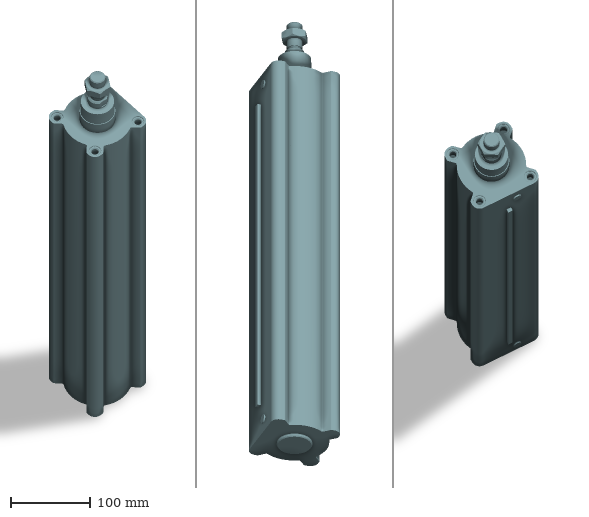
import cadquery as cq
import math

TOTAL_LENGTH = 617.5
WIDTH = 93.0
DEPTH = 98.0

HALF_WIDTH = WIDTH / 2
BARREL_RADIUS = 44.0
SCREW_PITCH = 72.0
LOBE_OFFSET = SCREW_PITCH / 2
LOBE_SHOULDER = 31.5
FLANK_FILLET = 2.5
BODY_BOTTOM = 4.0
BODY_TOP = 532.0
BODY_LENGTH = BODY_TOP - BODY_BOTTOM

RECESS_RIM_DIA = 16.0
RECESS_DIA = 15.0
RECESS_DEPTH = 1.0
SOCKET_RIM_DIA = 11.0
SOCKET_DIA = 8.5
SOCKET_DEPTH = 12.5

COLLAR_DIA = 45.0
NOSE_BASE_DIA = 43.0
NOSE_TIP_DIA = 42.0
COLLAR_TOP = 548.5
NOSE_TOP = 567.5
REAR_COLLAR_CHAMFER = 1.0

RAIL_WIDTH = 6.0
RAIL_HEIGHT = DEPTH - WIDTH
RAIL_LENGTH = 442.0
PAD_DIA = 11.0
PAD_HEIGHT = 2.0
PAD_X = -12.0
PAD_INSET = 18.0

ROD_DIA = 25.0
ROD_FLATS = 22.0
ROD_FLATS_BOTTOM = 569.5
ROD_SHOULDER = 579.0
ROD_SHOULDER_CHAMFER = 2.0
NECK_DIA = 18.0
NECK_TOP = 582.5
THREAD_DIA = 20.0
THREAD_CHAMFER = 1.0
ROD_BOTTOM = BODY_TOP

NUT_FLATS = 30.0
HALF_CORNER_ANGLE = 30
NUT_BOTTOM = 593.5
NUT_HEIGHT = 12.0
NUT_FACE_DIA = 29.0
NUT_CHAMFER_HEIGHT = 2.0


def body_outline():
    """Round barrel, four lobes with 45 degree flanks, and a flat +Y side."""
    diagonal_gap = HALF_WIDTH - LOBE_SHOULDER
    near = (math.sqrt(2 * BARREL_RADIUS**2 - diagonal_gap**2) - diagonal_gap) / 2
    far = near + diagonal_gap
    lobe_mid = LOBE_OFFSET + (HALF_WIDTH - LOBE_OFFSET) / math.sqrt(2)
    return (
        cq.Workplane("XY")
        .workplane(offset=BODY_BOTTOM)
        .moveTo(-LOBE_OFFSET, HALF_WIDTH)
        .lineTo(LOBE_OFFSET, HALF_WIDTH)
        .threePointArc((lobe_mid, lobe_mid), (HALF_WIDTH, LOBE_OFFSET))
        .lineTo(HALF_WIDTH, LOBE_SHOULDER)
        .lineTo(far, near)
        .threePointArc((BARREL_RADIUS, 0), (far, -near))
        .lineTo(HALF_WIDTH, -LOBE_SHOULDER)
        .lineTo(HALF_WIDTH, -LOBE_OFFSET)
        .threePointArc((lobe_mid, -lobe_mid), (LOBE_OFFSET, -HALF_WIDTH))
        .lineTo(LOBE_SHOULDER, -HALF_WIDTH)
        .lineTo(near, -far)
        .threePointArc((0, -BARREL_RADIUS), (-near, -far))
        .lineTo(-LOBE_SHOULDER, -HALF_WIDTH)
        .lineTo(-LOBE_OFFSET, -HALF_WIDTH)
        .threePointArc((-lobe_mid, -lobe_mid), (-HALF_WIDTH, -LOBE_OFFSET))
        .lineTo(-HALF_WIDTH, -LOBE_SHOULDER)
        .lineTo(-far, -near)
        .threePointArc((-BARREL_RADIUS, 0), (-far, near))
        .lineTo(-HALF_WIDTH, LOBE_SHOULDER)
        .lineTo(-HALF_WIDTH, LOBE_OFFSET)
        .threePointArc((-lobe_mid, lobe_mid), (-LOBE_OFFSET, HALF_WIDTH))
        .close()
    )


def is_flank_edge(edge):
    """True for the lengthwise edges at the two ends of a 45 degree flank."""
    place = edge.Center()
    return min(abs(place.x), abs(place.y)) < (LOBE_OFFSET + LOBE_SHOULDER) / 2


def cylinder(diameter, bottom, top):
    return cq.Workplane("XY").workplane(offset=bottom).circle(diameter / 2).extrude(top - bottom)


def screw_cutter():
    """Shallow recess and socket of a corner screw, both with a chamfered rim."""
    rim_drop = (RECESS_RIM_DIA - RECESS_DIA) / 2
    socket_drop = (SOCKET_RIM_DIA - SOCKET_DIA) / 2
    floor = BODY_TOP - RECESS_DEPTH
    return (
        cq.Workplane("XZ")
        .moveTo(0, BODY_TOP)
        .lineTo(RECESS_RIM_DIA / 2, BODY_TOP)
        .lineTo(RECESS_DIA / 2, BODY_TOP - rim_drop)
        .lineTo(RECESS_DIA / 2, floor)
        .lineTo(SOCKET_RIM_DIA / 2, floor)
        .lineTo(SOCKET_DIA / 2, floor - socket_drop)
        .lineTo(SOCKET_DIA / 2, floor - SOCKET_DEPTH)
        .lineTo(0, floor - SOCKET_DEPTH)
        .close()
        .revolve()
    )


def make_housing(rod):
    body = body_outline().extrude(BODY_LENGTH)
    body = body.edges("|Z").filter(is_flank_edge).fillet(FLANK_FILLET)
    rear = cylinder(COLLAR_DIA, 0, BODY_BOTTOM).faces("<Z").chamfer(REAR_COLLAR_CHAMFER)
    body = body.union(rear)
    body = body.union(cylinder(COLLAR_DIA, BODY_TOP, COLLAR_TOP))
    nose = (
        cq.Workplane("XY").workplane(offset=COLLAR_TOP).circle(NOSE_BASE_DIA / 2)
        .workplane(offset=NOSE_TOP - COLLAR_TOP).circle(NOSE_TIP_DIA / 2).loft()
    )
    body = body.union(nose)

    rail_bottom = (BODY_TOP + BODY_BOTTOM - RAIL_LENGTH) / 2
    rail = cq.Workplane("XY").box(RAIL_WIDTH, RAIL_HEIGHT, RAIL_LENGTH, centered=(True, False, False))
    body = body.union(rail.translate((0, HALF_WIDTH, rail_bottom)))

    for z in (BODY_BOTTOM + PAD_INSET, BODY_TOP - PAD_INSET):
        pad = cq.Workplane("XZ", origin=(PAD_X, HALF_WIDTH, z)).circle(PAD_DIA / 2).extrude(-PAD_HEIGHT)
        body = body.union(pad)

    for x in (-LOBE_OFFSET, LOBE_OFFSET):
        for y in (-LOBE_OFFSET, LOBE_OFFSET):
            body = body.cut(screw_cutter().translate((x, y, 0)))
    return body.cut(rod)


def make_rod():
    shank = cylinder(ROD_DIA, ROD_BOTTOM, ROD_SHOULDER).faces(">Z").chamfer(ROD_SHOULDER_CHAMFER)
    flats_height = ROD_SHOULDER - ROD_FLATS_BOTTOM
    for side in (-1, 1):
        cutter = cq.Workplane("XY").box(ROD_DIA, 2 * ROD_DIA, flats_height, centered=(True, True, False))
        shank = shank.cut(cutter.translate((side * (ROD_FLATS + ROD_DIA) / 2, 0, ROD_FLATS_BOTTOM)))
    neck = cylinder(NECK_DIA, ROD_SHOULDER, NECK_TOP)
    thread = cylinder(THREAD_DIA, NECK_TOP, TOTAL_LENGTH).faces(">Z").chamfer(THREAD_CHAMFER)
    return shank.union(neck).union(thread)


def make_nut(rod):
    corner_dia = NUT_FLATS / math.cos(math.radians(HALF_CORNER_ANGLE))
    hexagon = (
        cq.Workplane("XY").workplane(offset=NUT_BOTTOM).polygon(6, corner_dia).extrude(NUT_HEIGHT)
        .rotate((0, 0, 0), (0, 0, 1), HALF_CORNER_ANGLE)
    )
    nut_top = NUT_BOTTOM + NUT_HEIGHT
    chamfered_disc = (
        cq.Workplane("XZ")
        .moveTo(0, NUT_BOTTOM)
        .lineTo(NUT_FACE_DIA / 2, NUT_BOTTOM)
        .lineTo(corner_dia / 2, NUT_BOTTOM + NUT_CHAMFER_HEIGHT)
        .lineTo(corner_dia / 2, nut_top - NUT_CHAMFER_HEIGHT)
        .lineTo(NUT_FACE_DIA / 2, nut_top)
        .lineTo(0, nut_top)
        .close()
        .revolve()
    )
    return hexagon.intersect(chamfered_disc).cut(rod)


rod = make_rod()
housing = make_housing(rod)
nut = make_nut(rod)

result = cq.Compound.makeCompound([housing.val(), rod.val(), nut.val()])